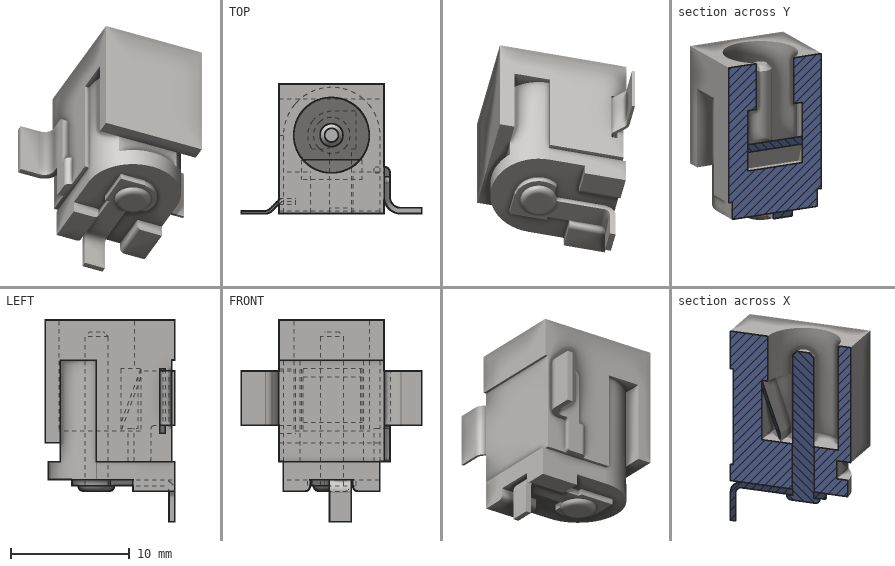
import cadquery as cq
import math


TOP = 17.02
HALF_WIDTH = 4.43
DEPTH = 10.95
AXIS_Y = 6.62
BORE_RADIUS = 3.18
BORE_DEPTH = 9.36
BLOCK_BOTTOM = TOP - 3.4
FRONT_RECESS = 0.25
BOX_BOTTOM = TOP - 11.95
BACK_WALL = 1.26
BACK_WALL_BOTTOM = TOP - 10.37
BASE_RADIUS = 4.07
BASE_BOTTOM = TOP - 13.46
LEG_BOTTOM = TOP - 14.45
LEG_DEPTH = 3.54
NOTCH_HALF_WIDTH = 1.8
NOTCH_FILLET = 0.4

PIN_RADIUS = 0.97
PIN_TOP = TOP - 0.99
PIN_CHAMFER = 0.39
RIVET_RADIUS = 1.53

PLATE_THICKNESS = 0.51
PLATE_BOTTOM = BASE_BOTTOM - PLATE_THICKNESS
TAIL_LEFT = -0.17
TAIL_RIGHT = 1.68
PLATE_RIGHT = 2.05
PLATE_FRONT = AXIS_Y - 1.15
PLATE_BACK = AXIS_Y + 2.08
LOBE_RADIUS = 2.03
LOBE_RIGHT = 0.17
LOBE_FILLET = 0.8

SPAN = 15.23
FOOT_TOP = TOP - 4.3
FOOT_BOTTOM = TOP - 8.9

LEFT_THICKNESS = 0.247
LEFT_BEND_RADIUS = 0.8
LEFT_BEND_START = -5.58
ROOT_BEND_RADIUS = 0.34
SLOT_LOW = 0.8
SLOT_HIGH = 1.3
SLOT_TOP = TOP - 4.14
SLOT_BOTTOM = TOP - 9.57
LEFT_ROOT_X = -3.06

RIGHT_THICKNESS = 0.51
FOOT_BEND_RADIUS = 1.4
ARM_LOW = 2.05
ARM_HIGH = 3.11
ARM_BOTTOM = BOX_BOTTOM
ARM_CORNER = 0.5
ARM_SMALL_FILLET = 0.24
HOOK_TOP = FOOT_BOTTOM - ARM_SMALL_FILLET
HOOK_Y = 3.45
RIGHT_ROOT_X = 3.57

SPRING_TIP_Y = AXIS_Y - 2.06
SPRING_ROOT_Y = 2.9
SPRING_TOP = TOP - 4.08
SPRING_BOTTOM = TOP - BORE_DEPTH
SPRING_HALF_WIDTH = 2.55
SPRING_HEIGHT = 0.71


def block(x0, x1, y0, y1, z0, z1):
    """Box between two opposite corners."""
    return cq.Workplane("XY").box(x1 - x0, y1 - y0, z1 - z0, centered=False).translate((x0, y0, z0))


def upright_cylinder(radius, z0, z1):
    """Cylinder on the socket axis."""
    return cq.Workplane("XY", origin=(0, AXIS_Y, z0)).circle(radius).extrude(z1 - z0)


def round_backed_prism(z0, z1):
    """Straight-sided prism of the base width with a half-round back about the socket axis."""
    sides = block(-BASE_RADIUS, BASE_RADIUS, 0, AXIS_Y, z0, z1)
    return sides.union(upright_cylinder(BASE_RADIUS, z0, z1))


def make_housing():
    """Square mouth, boxed front, flattened barrel, back wall and base with two legs."""
    mouth = block(-HALF_WIDTH, HALF_WIDTH, 0, DEPTH, BLOCK_BOTTOM, TOP)
    box = block(-HALF_WIDTH, HALF_WIDTH, FRONT_RECESS, AXIS_Y, BOX_BOTTOM, BLOCK_BOTTOM)
    wall_front = DEPTH - BACK_WALL
    back_wall = block(-HALF_WIDTH, HALF_WIDTH, wall_front, DEPTH, BACK_WALL_BOTTOM, BLOCK_BOTTOM)
    barrel = upright_cylinder(BASE_RADIUS, BOX_BOTTOM, BLOCK_BOTTOM).intersect(
        block(-BASE_RADIUS, BASE_RADIUS, 0, wall_front, BOX_BOTTOM, BLOCK_BOTTOM)
    )
    base = round_backed_prism(BASE_BOTTOM, BOX_BOTTOM)
    housing = mouth.union(box).union(back_wall).union(barrel).union(base)

    left_leg = block(-BASE_RADIUS, -NOTCH_HALF_WIDTH, 0, LEG_DEPTH, LEG_BOTTOM, BASE_BOTTOM)
    left_leg = left_leg.edges(">X and <Z").fillet(NOTCH_FILLET)
    right_leg = left_leg.mirror("YZ")
    housing = housing.union(left_leg).union(right_leg)

    bore = upright_cylinder(BORE_RADIUS, TOP - BORE_DEPTH, TOP)
    pin_hole = upright_cylinder(PIN_RADIUS, BASE_BOTTOM, TOP - BORE_DEPTH)
    left_slot = block(-HALF_WIDTH, LEFT_ROOT_X, SLOT_LOW, SLOT_HIGH, SLOT_BOTTOM, SLOT_TOP)
    right_slot = block(RIGHT_ROOT_X, HALF_WIDTH, HOOK_Y, HOOK_Y + RIGHT_THICKNESS, ARM_BOTTOM, HOOK_TOP)
    spring_pocket = block(
        -SPRING_HALF_WIDTH, SPRING_HALF_WIDTH, SPRING_ROOT_Y, SPRING_TIP_Y, SPRING_BOTTOM, SPRING_TOP
    )
    for opening in (bore, pin_hole, left_slot, right_slot, spring_pocket):
        housing = housing.cut(opening)
    return housing


def make_pin():
    """Center pin with a chamfered tip, with a rounded rivet head below the plate of its terminal."""
    shank = upright_cylinder(PIN_RADIUS, PLATE_BOTTOM, PIN_TOP).faces(">Z").chamfer(PIN_CHAMFER)
    rounding = PLATE_BOTTOM - LEG_BOTTOM
    head = (
        cq.Workplane("XZ", origin=(0, AXIS_Y, 0))
        .moveTo(0, PLATE_BOTTOM)
        .lineTo(RIVET_RADIUS, PLATE_BOTTOM)
        .radiusArc((RIVET_RADIUS - rounding, LEG_BOTTOM), rounding)
        .lineTo(0, LEG_BOTTOM)
        .close()
        .revolve(360, (0, 0, 0), (0, 1, 0))
    )
    return shank.union(head)


def make_pin_terminal():
    """Plate under the base with a round lobe at the pin and a tail bent down at the front."""
    bend_radius = 2 * PLATE_THICKNESS
    bend_offset = bend_radius * (1 - math.sqrt(0.5))
    inner_offset = bend_radius - PLATE_THICKNESS * math.sqrt(0.5)
    tail = (
        cq.Workplane("YZ", origin=(TAIL_LEFT, 0, 0))
        .moveTo(PLATE_FRONT, BASE_BOTTOM)
        .lineTo(bend_radius, BASE_BOTTOM)
        .threePointArc((bend_offset, BASE_BOTTOM - bend_offset), (0, BASE_BOTTOM - bend_radius))
        .lineTo(0, 0)
        .lineTo(PLATE_THICKNESS, 0)
        .lineTo(PLATE_THICKNESS, BASE_BOTTOM - bend_radius)
        .threePointArc((inner_offset, BASE_BOTTOM - inner_offset), (bend_radius, PLATE_BOTTOM))
        .lineTo(PLATE_FRONT, PLATE_BOTTOM)
        .close()
        .extrude(TAIL_RIGHT - TAIL_LEFT)
    )
    plate = block(TAIL_LEFT, PLATE_RIGHT, PLATE_FRONT, PLATE_BACK, PLATE_BOTTOM, BASE_BOTTOM)
    lobe_limits = block(-LOBE_RADIUS, LOBE_RIGHT, PLATE_FRONT, PLATE_BACK, PLATE_BOTTOM, BASE_BOTTOM)
    lobe_limits = lobe_limits.edges(">X and <Y").fillet(LOBE_FILLET)
    lobe = upright_cylinder(LOBE_RADIUS, PLATE_BOTTOM, BASE_BOTTOM).intersect(lobe_limits)
    pin_hole = upright_cylinder(PIN_RADIUS, PLATE_BOTTOM, BASE_BOTTOM)
    return tail.union(plate).union(lobe).cut(pin_hole)


def make_left_terminal():
    """Thin strip: flat foot, 45 degree rise and a flat root in the housing slot."""
    half_angle = math.radians(22.5)

    def foot_bend(radius, angle):
        x = LEFT_BEND_START + radius * math.sin(angle)
        return (x, LEFT_BEND_RADIUS - radius * math.cos(angle))

    inner_radius = LEFT_BEND_RADIUS - LEFT_THICKNESS
    rise_start_low = foot_bend(LEFT_BEND_RADIUS, 2 * half_angle)
    rise_start_high = foot_bend(inner_radius, 2 * half_angle)

    root_center_y = SLOT_HIGH - ROOT_BEND_RADIUS
    rise_end_high_y = root_center_y + ROOT_BEND_RADIUS * math.cos(2 * half_angle)
    rise_end_high_x = rise_start_high[0] + rise_end_high_y - rise_start_high[1]
    root_center_x = rise_end_high_x + ROOT_BEND_RADIUS * math.sin(2 * half_angle)

    def root_bend(radius, angle):
        return (root_center_x - radius * math.sin(angle), root_center_y + radius * math.cos(angle))

    root_inner_radius = ROOT_BEND_RADIUS - LEFT_THICKNESS
    root_low = SLOT_HIGH - LEFT_THICKNESS
    return (
        cq.Workplane("XY", origin=(0, 0, FOOT_BOTTOM))
        .moveTo(-SPAN / 2, 0)
        .lineTo(LEFT_BEND_START, 0)
        .threePointArc(foot_bend(LEFT_BEND_RADIUS, half_angle), rise_start_low)
        .lineTo(*root_bend(root_inner_radius, 2 * half_angle))
        .threePointArc(root_bend(root_inner_radius, half_angle), root_bend(root_inner_radius, 0))
        .lineTo(LEFT_ROOT_X, root_low)
        .lineTo(LEFT_ROOT_X, SLOT_HIGH)
        .lineTo(*root_bend(ROOT_BEND_RADIUS, 0))
        .threePointArc(root_bend(ROOT_BEND_RADIUS, half_angle), root_bend(ROOT_BEND_RADIUS, 2 * half_angle))
        .lineTo(*rise_start_high)
        .threePointArc(foot_bend(inner_radius, half_angle), (LEFT_BEND_START, LEFT_THICKNESS))
        .lineTo(-SPAN / 2, LEFT_THICKNESS)
        .close()
        .extrude(FOOT_TOP - FOOT_BOTTOM)
    )


def make_right_terminal():
    """Foot bent up into an arm along the housing side, with a hook bent into the housing."""
    outer_x = HALF_WIDTH + RIGHT_THICKNESS
    bend_x = HALF_WIDTH + FOOT_BEND_RADIUS
    inner_radius = FOOT_BEND_RADIUS - RIGHT_THICKNESS
    diagonal = math.sqrt(0.5)
    foot = (
        cq.Workplane("XY", origin=(0, 0, FOOT_BOTTOM))
        .moveTo(SPAN / 2, 0)
        .lineTo(bend_x, 0)
        .threePointArc(
            (bend_x - FOOT_BEND_RADIUS * diagonal, FOOT_BEND_RADIUS * (1 - diagonal)),
            (HALF_WIDTH, FOOT_BEND_RADIUS),
        )
        .lineTo(outer_x, FOOT_BEND_RADIUS)
        .threePointArc(
            (bend_x - inner_radius * diagonal, FOOT_BEND_RADIUS - inner_radius * diagonal),
            (bend_x, RIGHT_THICKNESS),
        )
        .lineTo(SPAN / 2, RIGHT_THICKNESS)
        .close()
        .extrude(FOOT_TOP - FOOT_BOTTOM)
    )
    upright = block(HALF_WIDTH, outer_x, FOOT_BEND_RADIUS, ARM_HIGH, FOOT_BOTTOM, FOOT_TOP)
    upright = upright.edges(">Y and >Z").fillet(ARM_CORNER)
    arm = block(HALF_WIDTH, outer_x, ARM_LOW, ARM_HIGH, ARM_BOTTOM, FOOT_BOTTOM)
    arm = arm.edges("<Y and <Z").fillet(ARM_SMALL_FILLET)
    inside_corner = (
        cq.Workplane("YZ", origin=(HALF_WIDTH, 0, 0))
        .moveTo(ARM_LOW, FOOT_BOTTOM)
        .lineTo(ARM_LOW - ARM_SMALL_FILLET, FOOT_BOTTOM)
        .radiusArc((ARM_LOW, HOOK_TOP), ARM_SMALL_FILLET)
        .close()
        .extrude(RIGHT_THICKNESS)
    )
    hook = (
        cq.Workplane("XY", origin=(0, 0, ARM_BOTTOM))
        .moveTo(HALF_WIDTH, ARM_HIGH)
        .lineTo(outer_x, ARM_HIGH)
        .lineTo(outer_x, HOOK_Y)
        .threePointArc(
            (HALF_WIDTH + RIGHT_THICKNESS * diagonal, HOOK_Y + RIGHT_THICKNESS * diagonal),
            (HALF_WIDTH, HOOK_Y + RIGHT_THICKNESS),
        )
        .lineTo(RIGHT_ROOT_X, HOOK_Y + RIGHT_THICKNESS)
        .lineTo(RIGHT_ROOT_X, HOOK_Y)
        .lineTo(HALF_WIDTH, HOOK_Y)
        .close()
        .extrude(HOOK_TOP - ARM_BOTTOM)
    )
    return foot.union(upright).union(arm).union(inside_corner).union(hook)


def make_spring():
    """Sloping leaf that reaches from the back of its pocket into the bore."""
    return (
        cq.Workplane("YZ", origin=(-SPRING_HALF_WIDTH, 0, 0))
        .moveTo(SPRING_ROOT_Y, SPRING_TOP)
        .lineTo(SPRING_TIP_Y, SPRING_BOTTOM + SPRING_HEIGHT)
        .lineTo(SPRING_TIP_Y, SPRING_BOTTOM)
        .lineTo(SPRING_ROOT_Y, SPRING_TOP - SPRING_HEIGHT)
        .close()
        .extrude(2 * SPRING_HALF_WIDTH)
    )


housing = make_housing()
pin = make_pin()
pin_terminal = make_pin_terminal()
left_terminal = make_left_terminal()
right_terminal = make_right_terminal()
spring = make_spring()

result = cq.Compound.makeCompound([
    housing.val(),
    pin.val(),
    pin_terminal.val(),
    left_terminal.val(),
    right_terminal.val(),
    spring.val(),
])